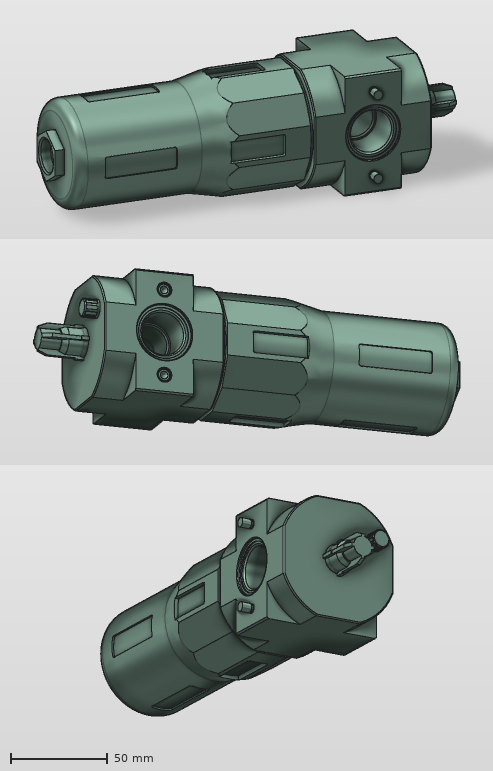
import cadquery as cq
import math

BLOCK_SIZE = 66.0
HALF_BLOCK = BLOCK_SIZE / 2
BLOCK_HALF_LENGTH = HALF_BLOCK
CORNER_DIAMETER = 71.0
END_CHAMFER = 0.7
ARM_WIDTH = 31.7
ARM_CHAMFER = 1.0

PORT_FACE_DIAMETER = 30.0
PORT_FACE_CHAMFER = 0.5
PORT_FACE_DEPTH = 1.4
PORT_STEP_DIAMETER = 27.4
PORT_STEP_DEPTH = 2.0
PORT_BORE = 23.0
PORT_BORE_DEPTH = 22.8
PORT_BORE_CHAMFER = 1.0
PASSAGE_DIAMETER = 19.4
PASSAGE_CHAMFER = 1.0

COLLAR_DIAMETER = 62.0
COLLAR_END = -34.0
NECK_DIAMETER = 61.0

GRIP_SIDES = 12
GRIP_FLATS = 65.2
GRIP_START = -34.9
GRIP_CORNER_END = -75.0
CONE_END = -94.6
BOWL_DIAMETER = 58.8
BOWL_END = -164.8
BOWL_FILLET = 6.2

WINDOW_COUNT = 4
WINDOW_WIDTH = 11.9
WINDOW_CORNER = 1.1
GRIP_WINDOW_START = -49.0
GRIP_WINDOW_END = -79.5
GRIP_WINDOW_FLOOR = 61.0
BOWL_WINDOW_START = -108.5
BOWL_WINDOW_END = -148.9
BOWL_WINDOW_FLOOR = 56.8

NUT_SIDES = 6
NUT_FLATS = 24.2
NUT_END = -170.0
NUT_BORE = 18.0
NUT_BORE_DEPTH = 6.4
NUT_BORE_CHAMFER = 1.0

DOME_TOP = 58.0
DOME_CORE_DIAMETER = 11.0
DOME_SHOULDER_DIAMETER = 12.3
DOME_SHOULDER = 46.7
DOME_BODY_TOP = 43.3
DOME_BODY_DIAMETER = 15.0
DOME_FOOT_TOP = 35.0
DOME_FOOT_DIAMETER = 16.5
FIN_SPAN = 17.3
FIN_THICKNESS = 2.0
FIN_TIP_INSET = 2.0
FIN_TIP_HEIGHT = 4.8
FOOT_SPAN = 18.7
FOOT_HEIGHT_LEFT = 4.0
FOOT_HEIGHT_RIGHT = 8.2
FOOT_HEIGHT_UPRIGHT = 5.0

KNOB_X = -21.0
KNOB_Z = 12.5
KNOB_DIAMETER = 10.0
KNOB_TOP = 41.3
KNOB_CHAMFER = 0.7
FLUTE_COUNT = 9
FLUTE_WIDTH = 2.0
FLUTE_DEPTH = 0.5
FLUTE_BASE_GAP = 1.1

SCREW_Z = 23.0
SCREW_DIAMETER = 5.0
SCREW_STANDOUT = 6.8
SCREW_TIP = HALF_BLOCK + SCREW_STANDOUT
SCREW_NECK_DIAMETER = 4.0
SCREW_NECK_LENGTH = 1.1
HEAD_DIAMETER = 7.0
HEAD_LENGTH = 5.0
HEAD_RECESS = 0.7
HEAD_CHAMFER = 0.5
SEAT_CHAMFER = 0.5
SOCKET_DIAMETER = 4.0
SOCKET_DEPTH = 1.8


def cylinder_y(diameter, y_low, y_high):
    """Cylinder along Y between two Y positions."""
    return (
        cq.Workplane("XZ", origin=(0, y_low, 0))
        .circle(diameter / 2)
        .extrude(-(y_high - y_low))
    )


def cylinder_x(diameter, x_low, x_high, z=0):
    """Cylinder along X between two X positions."""
    return (
        cq.Workplane("YZ", origin=(x_low, 0, z))
        .circle(diameter / 2)
        .extrude(x_high - x_low)
    )


def revolve_y(profile):
    """Solid of revolution about Y from (radius, y) points that start and end on the axis."""
    return cq.Workplane("XY").polyline(profile).close().revolve(360, (0, 0), (0, 1))


def revolve_x(profile):
    """Solid of revolution about X from (x, radius) points that start and end on the axis."""
    return cq.Workplane("XY").polyline(profile).close().revolve(360, (0, 0), (1, 0))


def polygon_y(sides, flats, y_low, y_high, turn):
    """Regular prism along Y, given by its width across flats."""
    corner_diameter = flats / math.cos(math.pi / sides)
    return (
        cq.Workplane("XZ", origin=(0, y_low, 0))
        .polygon(sides, corner_diameter)
        .extrude(-(y_high - y_low))
        .rotate((0, 0, 0), (0, 1, 0), turn)
    )


def make_block():
    length = 2 * BLOCK_HALF_LENGTH
    square = cq.Workplane("XY").box(BLOCK_SIZE, length, BLOCK_SIZE)
    corners = cylinder_y(CORNER_DIAMETER, -BLOCK_HALF_LENGTH, BLOCK_HALF_LENGTH)
    turned = square.intersect(corners).faces("<Y or >Y").chamfer(END_CHAMFER)
    arms = cq.Workplane("XY").box(BLOCK_SIZE, ARM_WIDTH, BLOCK_SIZE).edges("|Y").chamfer(ARM_CHAMFER)
    return turned.union(arms)


def make_port_cut():
    """Through port, turned from a radius profile that is mirrored for the +X half."""
    face_floor = HALF_BLOCK - PORT_FACE_DEPTH
    step_floor = HALF_BLOCK - PORT_STEP_DEPTH
    bore_floor = HALF_BLOCK - PORT_BORE_DEPTH
    face_radius = PORT_FACE_DIAMETER / 2
    step_radius = PORT_STEP_DIAMETER / 2
    bore_radius = PORT_BORE / 2
    passage_radius = PASSAGE_DIAMETER / 2
    half = revolve_x([
        (-HALF_BLOCK, 0),
        (-HALF_BLOCK, face_radius + PORT_FACE_CHAMFER),
        (-HALF_BLOCK + PORT_FACE_CHAMFER, face_radius),
        (-face_floor, face_radius),
        (-face_floor, step_radius),
        (-step_floor, step_radius),
        (-step_floor, bore_radius + PORT_BORE_CHAMFER),
        (-step_floor + PORT_BORE_CHAMFER, bore_radius),
        (-bore_floor, bore_radius),
        (-bore_floor, passage_radius + PASSAGE_CHAMFER),
        (-bore_floor + PASSAGE_CHAMFER, passage_radius),
        (0, passage_radius),
        (0, 0),
    ])
    return half.union(half.mirror("YZ"))


def make_window(y_start, y_end, floor_diameter, rounded_edges):
    """Cutter on the +Z side: a rectangle standing on a curved floor."""
    middle = (y_start + y_end) / 2
    slab = (
        cq.Workplane("XY", origin=(0, middle, 0))
        .rect(WINDOW_WIDTH, y_start - y_end)
        .extrude(BLOCK_SIZE)
        .edges(rounded_edges)
        .fillet(WINDOW_CORNER)
    )
    return slab.cut(cylinder_y(floor_diameter, y_end, y_start))


def cut_windows(body, window):
    for i in range(WINDOW_COUNT):
        body = body.cut(window.rotate((0, 0, 0), (0, 1, 0), i * 360 / WINDOW_COUNT))
    return body


def make_bowl():
    bowl_radius = BOWL_DIAMETER / 2
    corner_radius = GRIP_FLATS / 2 / math.cos(math.pi / GRIP_SIDES)
    envelope = revolve_y([
        (0, GRIP_START),
        (corner_radius, GRIP_START),
        (corner_radius, GRIP_CORNER_END),
        (bowl_radius, CONE_END),
        (bowl_radius, BOWL_END),
        (0, BOWL_END),
    ])
    grip = polygon_y(GRIP_SIDES, GRIP_FLATS, BOWL_END, GRIP_START, 180 / GRIP_SIDES)
    bowl = envelope.intersect(grip).faces("<Y").edges().fillet(BOWL_FILLET)
    grip_window = make_window(GRIP_WINDOW_START, GRIP_WINDOW_END, GRIP_WINDOW_FLOOR, "|Z and >Y")
    bowl_window = make_window(BOWL_WINDOW_START, BOWL_WINDOW_END, BOWL_WINDOW_FLOOR, "|Z")
    return cut_windows(cut_windows(bowl, grip_window), bowl_window)


def make_nut():
    """Hexagon nut with two flats facing -X and +X."""
    return polygon_y(NUT_SIDES, NUT_FLATS, NUT_END, BOWL_END, 180 / NUT_SIDES)


def make_nut_bore():
    """Blind bore through the nut into the bowl, with a chamfered mouth."""
    bore_radius = NUT_BORE / 2
    return revolve_y([
        (0, NUT_END),
        (bore_radius + NUT_BORE_CHAMFER, NUT_END),
        (bore_radius, NUT_END + NUT_BORE_CHAMFER),
        (bore_radius, NUT_END + NUT_BORE_DEPTH),
        (0, NUT_END + NUT_BORE_DEPTH),
    ])


def make_fin(left_foot, right_foot):
    """Fin in the XY plane, with sloped tips and a foot of its own height on each side."""
    half_span = FIN_SPAN / 2
    half_tip = half_span - FIN_TIP_INSET
    half_foot = FOOT_SPAN / 2
    tip_start = DOME_TOP - FIN_TIP_HEIGHT
    left_step = BLOCK_HALF_LENGTH + left_foot
    right_step = BLOCK_HALF_LENGTH + right_foot
    return (
        cq.Workplane("XY", origin=(0, 0, -FIN_THICKNESS / 2))
        .polyline([
            (-half_foot, BLOCK_HALF_LENGTH),
            (half_foot, BLOCK_HALF_LENGTH),
            (half_foot, right_step),
            (half_span, right_step),
            (half_span, tip_start),
            (half_tip, DOME_TOP),
            (-half_tip, DOME_TOP),
            (-half_span, tip_start),
            (-half_span, left_step),
            (-half_foot, left_step),
        ])
        .close()
        .extrude(FIN_THICKNESS)
    )


def make_dome():
    dome = revolve_y([
        (0, BLOCK_HALF_LENGTH),
        (DOME_FOOT_DIAMETER / 2, BLOCK_HALF_LENGTH),
        (DOME_BODY_DIAMETER / 2, DOME_FOOT_TOP),
        (DOME_BODY_DIAMETER / 2, DOME_BODY_TOP),
        (DOME_SHOULDER_DIAMETER / 2, DOME_SHOULDER),
        (DOME_CORE_DIAMETER / 2, DOME_SHOULDER),
        (DOME_CORE_DIAMETER / 2, DOME_TOP),
        (0, DOME_TOP),
    ])
    level_fin = make_fin(FOOT_HEIGHT_LEFT, FOOT_HEIGHT_RIGHT)
    upright_fin = make_fin(FOOT_HEIGHT_UPRIGHT, FOOT_HEIGHT_UPRIGHT).rotate((0, 0, 0), (0, 1, 0), 90)
    return dome.union(level_fin).union(upright_fin)


def make_knob():
    knob = cylinder_y(KNOB_DIAMETER, BLOCK_HALF_LENGTH, KNOB_TOP).faces(">Y").chamfer(KNOB_CHAMFER)
    flute_low = BLOCK_HALF_LENGTH + FLUTE_BASE_GAP
    flute_high = KNOB_TOP - KNOB_CHAMFER
    flute = (
        cq.Workplane("XY", origin=(0, (flute_low + flute_high) / 2, KNOB_DIAMETER / 2))
        .box(FLUTE_WIDTH, flute_high - flute_low, 2 * FLUTE_DEPTH)
    )
    pitch = 360 / FLUTE_COUNT
    for i in range(FLUTE_COUNT):
        knob = knob.cut(flute.rotate((0, 0, 0), (0, 1, 0), (i + 0.5) * pitch))
    return knob.translate((KNOB_X, 0, KNOB_Z))


def make_screw_hole(z):
    """Through hole with a chamfered seat for the head on the -X face."""
    head_floor = -HALF_BLOCK + HEAD_RECESS + HEAD_LENGTH
    shank = cylinder_x(SCREW_DIAMETER, -HALF_BLOCK, HALF_BLOCK, z)
    seat = cylinder_x(HEAD_DIAMETER, -HALF_BLOCK, head_floor, z)
    mouth = (
        cylinder_x(HEAD_DIAMETER + 2 * SEAT_CHAMFER, -HALF_BLOCK, -HALF_BLOCK + HEAD_RECESS, z)
        .faces(">X").chamfer(SEAT_CHAMFER)
    )
    return shank.union(seat).union(mouth)


def make_screw(z):
    """Socket screw with its head on the -X side and its necked tip standing out at +X."""
    head_top = -HALF_BLOCK + HEAD_RECESS
    head_floor = head_top + HEAD_LENGTH
    neck_end = HALF_BLOCK + SCREW_NECK_LENGTH
    socket_radius = SOCKET_DIAMETER / 2
    head_radius = HEAD_DIAMETER / 2
    shank_radius = SCREW_DIAMETER / 2
    neck_radius = SCREW_NECK_DIAMETER / 2
    profile = [
        (head_top + SOCKET_DEPTH, 0),
        (head_top, socket_radius),
        (head_top, head_radius - HEAD_CHAMFER),
        (head_top + HEAD_CHAMFER, head_radius),
        (head_floor, head_radius),
        (head_floor, shank_radius),
        (HALF_BLOCK, shank_radius),
        (HALF_BLOCK, neck_radius),
        (neck_end, neck_radius),
        (neck_end, shank_radius),
        (SCREW_TIP, shank_radius),
        (SCREW_TIP, 0),
    ]
    return revolve_x(profile).translate((0, 0, z))


def make_housing():
    housing = make_block().cut(make_port_cut())
    collar = cylinder_y(COLLAR_DIAMETER, COLLAR_END, -BLOCK_HALF_LENGTH)
    neck = cylinder_y(NECK_DIAMETER, GRIP_START, COLLAR_END)
    for piece in (collar, neck, make_bowl(), make_nut(), make_dome(), make_knob()):
        housing = housing.union(piece)
    housing = housing.cut(make_nut_bore())
    for z in (-SCREW_Z, SCREW_Z):
        housing = housing.cut(make_screw_hole(z))
    return housing


housing = make_housing()
screws = [make_screw(z) for z in (-SCREW_Z, SCREW_Z)]

result = cq.Compound.makeCompound([housing.val(), *[screw.val() for screw in screws]])